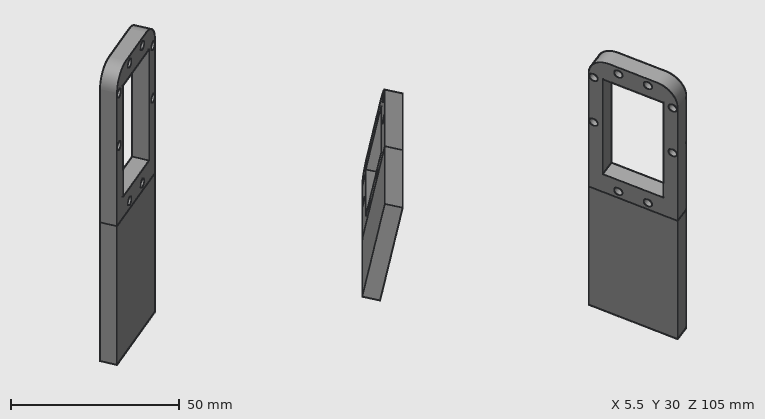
import cadquery as cq

total_height = 105.0
width = 30.0
thickness = 5.5

plate_height = 50.0
frame_height = total_height - plate_height
corner_radius = 7.0

window_width = 20.5
window_height = 40.0
window_bottom = plate_height + (frame_height - window_height) / 2

hole_diameter = 2.8
end_hole_spacing = 10.0
end_hole_inset = 2.7
end_hole_heights = (plate_height + end_hole_inset, total_height - end_hole_inset)
side_hole_spacing = 26.7
side_hole_heights = (77.9, 96.8)


def block(block_width, height, bottom):
    """Box as thick as the part, centred on X and Y, standing on the given height."""
    return (
        cq.Workplane("XY", origin=(0, 0, bottom))
        .box(thickness, block_width, height, centered=(True, True, False))
    )


def hole_points():
    """(Y, Z) centres of the holes above, below and beside the window."""
    points = []
    for spacing, heights in (
        (end_hole_spacing, end_hole_heights),
        (side_hole_spacing, side_hole_heights),
    ):
        for height in heights:
            for side in (-1, 1):
                points.append((side * spacing / 2, height))
    return points


def make_plate():
    """Plain solid plate below the frame."""
    return block(width, plate_height, 0)


def make_frame():
    """Round-topped frame with a rectangular window and eight through holes."""
    frame = block(width, frame_height, plate_height)
    frame = frame.edges("|X and >Z").fillet(corner_radius)
    frame = frame.cut(block(window_width, window_height, window_bottom))
    holes = (
        cq.Workplane("YZ")
        .pushPoints(hole_points())
        .circle(hole_diameter / 2)
        .extrude(thickness, both=True)
    )
    return frame.cut(holes)


plate = make_plate()
frame = make_frame()
result = cq.Compound.makeCompound([plate.val(), frame.solids().val()])